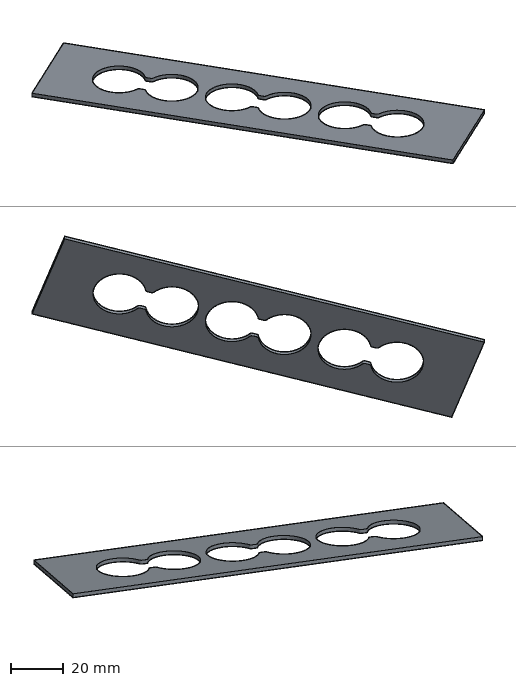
import cadquery as cq

length = 168.0
width = 40.0
thickness = 1.6

opening_count = 3
opening_pitch = 45.0
hole_radius = 10.0
hole_spacing = 21.0
neck_width = 8.7
neck_corner_radius = 1.0


def opening_cutter(center_x):
    """Pair of round holes and their connecting neck, with rounded neck corners."""
    holes = (
        cq.Workplane("XY")
        .pushPoints([(-hole_spacing / 2, 0), (hole_spacing / 2, 0)])
        .circle(hole_radius)
        .extrude(thickness)
    )
    neck = cq.Workplane("XY").rect(hole_spacing, neck_width).extrude(thickness)
    neck_corners = cq.selectors.BoxSelector(
        (-hole_spacing / 2, -neck_width, -thickness),
        (hole_spacing / 2, neck_width, 2 * thickness),
    )
    cutter = holes.union(neck).edges("|Z").edges(neck_corners).fillet(neck_corner_radius)
    return cutter.translate((center_x, 0, 0))


result = cq.Workplane("XY").rect(length, width).extrude(thickness)
for index in range(opening_count):
    offset_from_middle = index - (opening_count - 1) / 2
    result = result.cut(opening_cutter(offset_from_middle * opening_pitch))